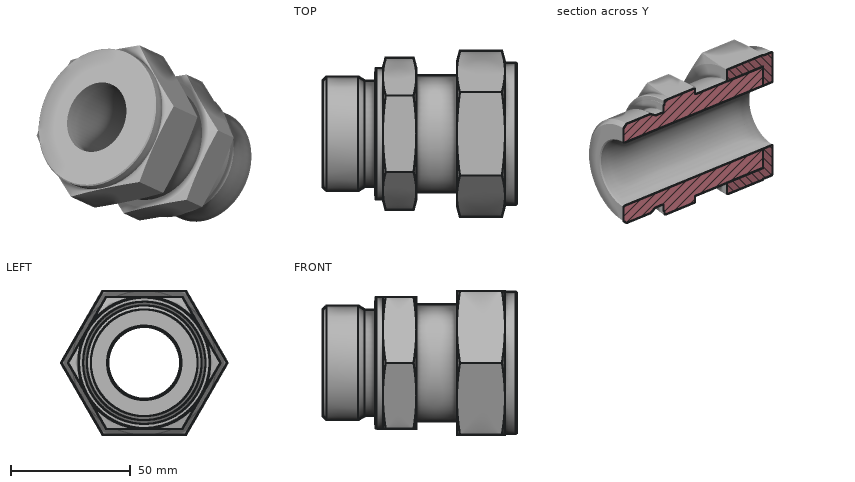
import cadquery as cq
import math


thread_length = 14.7
thread_runout = 2.8
neck_length = 4.25
seat_length = 0.3
collar_length = 3.05
body_hex_length = 13.9
bare_barrel_length = 16.95
nut_hex_length = 20.0
nut_rim_length = 4.95

bore_diameter = 30.0
thread_diameter = 47.8
neck_diameter = 44.4
seat_diameter = 51.0
body_across_flats = 55.0
barrel_diameter = 49.0
nut_across_flats = 60.0
nut_rim_diameter = 59.4

thread_chamfer = 1.65
bore_chamfer = 0.5
collar_chamfer = 0.3
nut_rim_chamfer = 0.5
hex_corner_angle = 15.0

runout_start = thread_length
neck_start = runout_start + thread_runout
seat_start = neck_start + neck_length
collar_start = seat_start + seat_length
body_hex_start = collar_start + collar_length
barrel_start = body_hex_start + body_hex_length
nut_start = barrel_start + bare_barrel_length
nut_rim_start = nut_start + nut_hex_length


def cylinder(start, length, diameter):
    """Solid cylinder around the X axis."""
    return cq.Workplane("YZ", origin=(start, 0, 0)).circle(diameter / 2).extrude(length)


def revolved(profile):
    """Solid of revolution around X from (x, radius) points."""
    return cq.Workplane("XY").polyline(profile).close().revolve(360, (0, 0, 0), (1, 0, 0))


def chamfered_hexagon(start, length, across_flats):
    """Hexagon along X with flats facing +Z and -Z and its corners coned off at both ends."""
    end = start + length
    flat_radius = across_flats / 2
    corner_radius = flat_radius / math.cos(math.pi / 6)
    corner_setback = (corner_radius - flat_radius) * math.tan(math.radians(hex_corner_angle))
    prism = cq.Workplane("YZ", origin=(start, 0, 0)).polygon(6, 2 * corner_radius).extrude(length)
    envelope = revolved([
        (start, 0),
        (start, flat_radius),
        (start + corner_setback, corner_radius),
        (end - corner_setback, corner_radius),
        (end, flat_radius),
        (end, 0),
    ])
    return prism.intersect(envelope)


def make_gland_body():
    """Threaded end, sealing collar, hexagon and barrel around one through bore."""
    thread_radius = thread_diameter / 2
    neck_radius = neck_diameter / 2
    seat_radius = seat_diameter / 2
    collar_radius = body_across_flats / 2
    connection = revolved([
        (0, 0),
        (0, thread_radius - thread_chamfer),
        (thread_chamfer, thread_radius),
        (runout_start, thread_radius),
        (neck_start, neck_radius),
        (seat_start, neck_radius),
        (seat_start, seat_radius),
        (collar_start, seat_radius),
        (collar_start, collar_radius - collar_chamfer),
        (collar_start + collar_chamfer, collar_radius),
        (body_hex_start, collar_radius),
        (body_hex_start, 0),
    ])
    hexagon = chamfered_hexagon(body_hex_start, body_hex_length, body_across_flats)
    barrel = cylinder(barrel_start, nut_rim_start - barrel_start, barrel_diameter)
    bore = cylinder(0, nut_rim_start, bore_diameter)
    bore_radius = bore_diameter / 2
    bore_mouth = revolved([
        (0, 0),
        (0, bore_radius + bore_chamfer),
        (bore_chamfer, bore_radius),
        (bore_chamfer, 0),
    ])
    return connection.union(hexagon).union(barrel).cut(bore).cut(bore_mouth)


def make_cap_nut():
    """Hexagon with a round rim, a recess for the barrel and a bore through its end wall."""
    hexagon = chamfered_hexagon(nut_start, nut_hex_length, nut_across_flats)
    rim = cylinder(nut_rim_start, nut_rim_length, nut_rim_diameter)
    rim = rim.faces(">X").chamfer(nut_rim_chamfer)
    barrel_recess = cylinder(nut_start, nut_hex_length, barrel_diameter)
    bore = cylinder(nut_rim_start, nut_rim_length, bore_diameter)
    return hexagon.union(rim).cut(barrel_recess).cut(bore)


gland_body = make_gland_body()
cap_nut = make_cap_nut()

result = cq.Compound.makeCompound([gland_body.val(), cap_nut.val()])